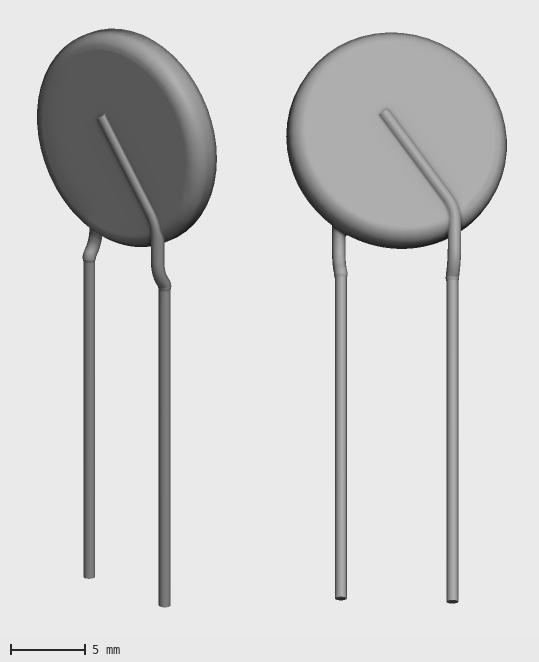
import cadquery as cq
import math

disc_diameter = 15.0
disc_thickness = 2.6
disc_edge_radius = 1.0

coating_diameter = 0.9
wire_diameter = 0.8
overall_thickness = 3.1
lead_pitch = 7.5
overall_height = 40.01

slant_angle = math.radians(37)
slant_bend_radius = 2.5
slant_bend_bottom_z = -5.8
tip_x = -1.15

jog_top_z = -7.74
jog_angle = math.radians(40)
jog_lower_radius = 0.5
coating_end_length = 0.2

seam_fillet_radius = 0.15
contact_tolerance = 1e-4
contact_samples = (0.13, 0.37, 0.61, 0.83)

lead_x = lead_pitch / 2
coated_y = -(overall_thickness - coating_diameter) / 2
bare_y = -wire_diameter / 2
bottom_z = disc_diameter / 2 - overall_height


def make_disc():
    """Round body with filleted rims."""
    return (
        cq.Workplane("XZ", origin=(0, disc_thickness / 2, 0))
        .circle(disc_diameter / 2)
        .extrude(disc_thickness)
        .faces("|Y")
        .edges()
        .fillet(disc_edge_radius)
    )


def arc_drop(radius, angle):
    """Sideways shift and length along the start direction of an arc that turns by angle."""
    return radius * (1 - math.cos(angle)), radius * math.sin(angle)


def make_slant_path():
    """Centre line on the disc face, from the straight leg up to the slanted tip."""
    half_shift, half_rise = arc_drop(slant_bend_radius, slant_angle / 2)
    bend_shift, bend_rise = arc_drop(slant_bend_radius, slant_angle)
    bend_end_x = lead_x - bend_shift
    bend_end_z = slant_bend_bottom_z + bend_rise
    tip_z = bend_end_z + (bend_end_x - tip_x) / math.tan(slant_angle)
    return (
        cq.Workplane("XZ", origin=(0, coated_y, 0))
        .moveTo(lead_x, jog_top_z)
        .lineTo(lead_x, slant_bend_bottom_z)
        .threePointArc(
            (lead_x - half_shift, slant_bend_bottom_z + half_rise),
            (bend_end_x, bend_end_z),
        )
        .lineTo(tip_x, tip_z)
    )


def make_jog_path():
    """Centre line of the S-shaped jog, from its top to the start of the tapered coating end."""
    jog_shift = bare_y - coated_y
    upper_radius = jog_shift / (1 - math.cos(jog_angle)) - jog_lower_radius
    upper_mid_shift, upper_mid_drop = arc_drop(upper_radius, jog_angle / 2)
    upper_shift, upper_drop = arc_drop(upper_radius, jog_angle)
    lower_mid_shift, lower_mid_drop = arc_drop(jog_lower_radius, jog_angle / 2)
    lower_drop = arc_drop(jog_lower_radius, jog_angle)[1]
    jog_bottom_z = jog_top_z - upper_drop - lower_drop
    path = (
        cq.Workplane("YZ", origin=(lead_x, 0, 0))
        .moveTo(coated_y, jog_top_z)
        .threePointArc(
            (coated_y + upper_mid_shift, jog_top_z - upper_mid_drop),
            (coated_y + upper_shift, jog_top_z - upper_drop),
        )
        .threePointArc(
            (bare_y - lower_mid_shift, jog_bottom_z + lower_mid_drop),
            (bare_y, jog_bottom_z),
        )
    )
    return path, jog_bottom_z


def sweep_coating(path):
    """Coated wire that follows a path starting at the top of the jog."""
    return (
        cq.Workplane("XY", origin=(lead_x, coated_y, jog_top_z))
        .circle(coating_diameter / 2)
        .sweep(path)
    )


def make_lead():
    """One complete lead, lying on the -Y face of the disc."""
    slant = sweep_coating(make_slant_path())
    jog_path, jog_bottom_z = make_jog_path()
    jog = sweep_coating(jog_path)
    coating_end_z = jog_bottom_z - coating_end_length
    coating_end = (
        cq.Workplane("XY", origin=(lead_x, bare_y, jog_bottom_z))
        .circle(coating_diameter / 2)
        .workplane(offset=-coating_end_length)
        .circle(wire_diameter / 2)
        .loft()
    )
    bare_wire = (
        cq.Workplane("XY", origin=(lead_x, bare_y, bottom_z))
        .circle(wire_diameter / 2)
        .extrude(coating_end_z - bottom_z)
    )
    return slant.union(jog).union(coating_end).union(bare_wire)


def lies_on(edge, shell):
    """True when sample points spread along the edge all lie on the shell."""
    return all(
        cq.Vertex.makeVertex(*point.toTuple()).distance(shell) < contact_tolerance
        for point in edge.positions(contact_samples)
    )


def outer_shell(body):
    """Boundary surface of a one-piece body."""
    return cq.Shell.makeShell(body.faces().vals())


def join_with_fillet(body, disc, lead):
    """Join a lead to the body and round the seam where it meets the disc."""
    joined = body.union(lead)
    disc_shell = outer_shell(disc)
    lead_shell = outer_shell(lead)
    seam = [
        edge
        for edge in joined.edges().vals()
        if lies_on(edge, disc_shell) and lies_on(edge, lead_shell)
    ]
    return joined.newObject(seam).fillet(seam_fillet_radius)


disc = make_disc()
front_lead = make_lead()
back_lead = front_lead.rotate((0, 0, 0), (0, 0, 1), 180)
result = join_with_fillet(disc, disc, front_lead)
result = join_with_fillet(result, disc, back_lead)